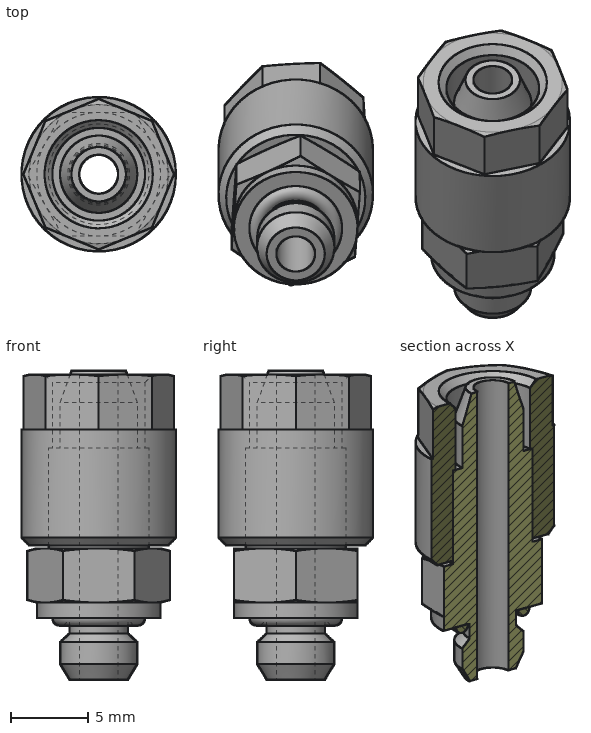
import cadquery as cq
import math

TOTAL_HEIGHT = 20.0
BORE_DIAMETER = 2.5
NECK_DIAMETER = 6.5
SHOULDER_Z = 15.0
CORNER_BEVEL_ANGLE = 15.0

END_DIAMETER = 5.0
RELIEF_DIAMETER = 3.8
LEAD_CHAMFER_HEIGHT = 1.02
LEAD_CHAMFER_WIDTH = 0.62
THREAD_TOP_Z = 2.45
RELIEF_BOTTOM_Z = 3.0

FLANGE_BOTTOM_Z = 4.0
FLANGE_HEIGHT = 1.0
HEX_HEIGHT = 3.5
HEX_ACROSS_FLATS = 8.0
HEX_BOTTOM_Z = FLANGE_BOTTOM_Z + FLANGE_HEIGHT
HEX_TOP_Z = HEX_BOTTOM_Z + HEX_HEIGHT

BARB_DIAMETER = 5.0
BARB_TIP_DIAMETER = 3.52
BARB_CONE_HEIGHT = 2.08

RING_DIAMETER = 6.0
RING_SECTION_RADIUS = 0.5

NUT_DIAMETER = 10.0
NUT_BOTTOM_Z = 8.7
NUT_BOTTOM_CHAMFER = 0.5
NUT_OCTAGON_BOTTOM_Z = 16.2
NUT_TOP_Z = 19.75
NUT_ACROSS_FLATS = 9.0
HOSE_OPENING_DIAMETER = 6.0
MOUTH_DIAMETER = 7.0


def cylinder(diameter, bottom, top):
    return cq.Workplane("XY").workplane(offset=bottom).circle(diameter / 2).extrude(top - bottom)


def revolve_profile(points):
    """Revolve a closed (radius, height) outline about Z."""
    return cq.Workplane("XZ").polyline(points).close().revolve(360, (0, 0), (0, 1))


def bevelled_prism(sides, across_flats, bottom, top, bevel_bottom):
    """Polygon prism with a corner on +X, its corners bevelled by a cone."""
    flat_radius = across_flats / 2
    corner_radius = flat_radius / math.cos(math.pi / sides)
    prism = (
        cq.Workplane("XY").workplane(offset=bottom)
        .polygon(sides, 2 * corner_radius).extrude(top - bottom)
    )
    bevel_height = (corner_radius - flat_radius) * math.tan(math.radians(CORNER_BEVEL_ANGLE))
    if bevel_bottom:
        lower_edge = [(flat_radius, bottom), (corner_radius, bottom + bevel_height)]
    else:
        lower_edge = [(corner_radius, bottom)]
    envelope = revolve_profile(
        [(0, bottom)] + lower_edge
        + [(corner_radius, top - bevel_height), (flat_radius, top), (0, top)]
    )
    return prism.intersect(envelope)


def make_body():
    end_radius = END_DIAMETER / 2
    relief_radius = RELIEF_DIAMETER / 2
    threaded_end = revolve_profile([
        (0, 0),
        (end_radius - LEAD_CHAMFER_WIDTH, 0),
        (end_radius, LEAD_CHAMFER_HEIGHT),
        (end_radius, THREAD_TOP_Z),
        (relief_radius, RELIEF_BOTTOM_Z),
        (relief_radius, FLANGE_BOTTOM_Z),
        (0, FLANGE_BOTTOM_Z),
    ])
    flange = cylinder(HEX_ACROSS_FLATS, FLANGE_BOTTOM_Z, HEX_BOTTOM_Z)
    hexagon = bevelled_prism(6, HEX_ACROSS_FLATS, HEX_BOTTOM_Z, HEX_TOP_Z, bevel_bottom=True)
    neck = cylinder(NECK_DIAMETER, HEX_TOP_Z, SHOULDER_Z)
    barb = revolve_profile([
        (0, SHOULDER_Z),
        (BARB_DIAMETER / 2, SHOULDER_Z),
        (BARB_DIAMETER / 2, TOTAL_HEIGHT - BARB_CONE_HEIGHT),
        (BARB_TIP_DIAMETER / 2, TOTAL_HEIGHT),
        (0, TOTAL_HEIGHT),
    ])
    bore = cylinder(BORE_DIAMETER, 0, TOTAL_HEIGHT)
    return threaded_end.union(flange).union(hexagon).union(neck).union(barb).cut(bore)


def make_sealing_ring():
    """Half-round ring around the thread relief, its flat side against the flange."""
    outer_radius = RING_DIAMETER / 2
    middle_radius = outer_radius - RING_SECTION_RADIUS
    inner_radius = middle_radius - RING_SECTION_RADIUS
    lowest_point = (middle_radius, FLANGE_BOTTOM_Z - RING_SECTION_RADIUS)
    return (
        cq.Workplane("XZ").moveTo(inner_radius, FLANGE_BOTTOM_Z)
        .threePointArc(lowest_point, (outer_radius, FLANGE_BOTTOM_Z))
        .close().revolve(360, (0, 0), (0, 1))
    )


def make_nut():
    sleeve = cylinder(NUT_DIAMETER, NUT_BOTTOM_Z, NUT_OCTAGON_BOTTOM_Z)
    sleeve = sleeve.faces("<Z").edges().chamfer(NUT_BOTTOM_CHAMFER)
    octagon = bevelled_prism(8, NUT_ACROSS_FLATS, NUT_OCTAGON_BOTTOM_Z, NUT_TOP_Z, bevel_bottom=False)
    neck_bore = cylinder(NECK_DIAMETER, NUT_BOTTOM_Z, SHOULDER_Z)
    hose_opening = cylinder(HOSE_OPENING_DIAMETER, SHOULDER_Z, NUT_TOP_Z)
    mouth_chamfer = (MOUTH_DIAMETER - HOSE_OPENING_DIAMETER) / 2
    mouth = revolve_profile([
        (0, NUT_TOP_Z - mouth_chamfer),
        (HOSE_OPENING_DIAMETER / 2, NUT_TOP_Z - mouth_chamfer),
        (MOUTH_DIAMETER / 2, NUT_TOP_Z),
        (0, NUT_TOP_Z),
    ])
    return sleeve.union(octagon).cut(neck_bore).cut(hose_opening).cut(mouth)


body = make_body()
sealing_ring = make_sealing_ring()
nut = make_nut()

result = cq.Compound.makeCompound([body.val(), sealing_ring.val(), nut.val()])